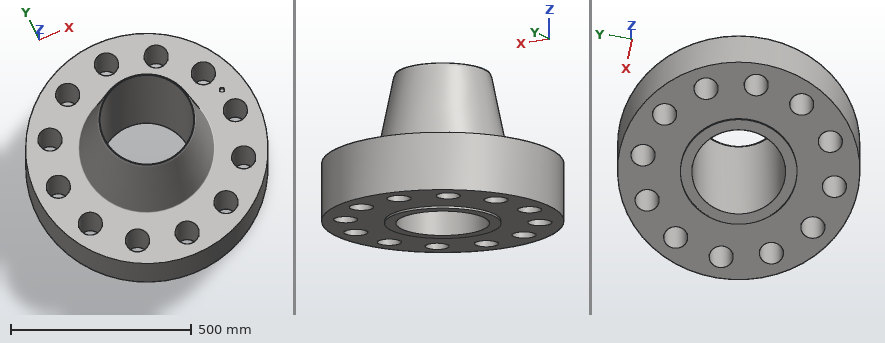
import cadquery as cq
import math

flange_diameter = 673.0
flange_thickness = 165.0

raised_face_diameter = 324.0
raised_face_height = 6.3

overall_height = 425.0
hub_base_diameter = 374.0
pipe_diameter = 273.0
bore_diameter = 260.0
bevel_height = 9.0
land_width = 3.0
hub_fillet = 3.0

bolt_count = 12
bolt_circle_diameter = 540.0
bolt_hole_diameter = 66.5

small_hole_diameter = 14.0
small_hole_depth = small_hole_diameter

bottom_z = -raised_face_height
tip_z = bottom_z + overall_height
bevel_z = tip_z - bevel_height
land_radius = bore_diameter / 2 + land_width


def bolt_circle_point(angle):
    radius = bolt_circle_diameter / 2
    turn = math.radians(angle)
    return (radius * math.cos(turn), radius * math.sin(turn))


def make_disc():
    disc = cq.Workplane("XY").circle(flange_diameter / 2).extrude(flange_thickness)
    raised_face = cq.Workplane("XY").circle(raised_face_diameter / 2).extrude(-raised_face_height)
    return disc.union(raised_face)


def make_hub():
    half_section = [
        (0, flange_thickness),
        (hub_base_diameter / 2, flange_thickness),
        (pipe_diameter / 2, bevel_z),
        (land_radius, tip_z),
        (0, tip_z),
    ]
    return cq.Workplane("XZ").polyline(half_section).close().revolve(360, (0, 0), (0, 1))


def fillet_hub_root(body):
    root_zone = cq.selectors.BoxSelector(
        (-hub_base_diameter, -hub_base_diameter, flange_thickness - hub_fillet),
        (hub_base_diameter, hub_base_diameter, flange_thickness + hub_fillet),
    )
    root_edge = cq.selectors.RadiusNthSelector(0)
    return body.edges(root_zone).edges(root_edge).fillet(hub_fillet)


def make_bore():
    return cq.Workplane("XY", origin=(0, 0, bottom_z)).circle(bore_diameter / 2).extrude(overall_height)


def make_bolt_holes():
    points = [bolt_circle_point(i * 360 / bolt_count) for i in range(bolt_count)]
    return cq.Workplane("XY").pushPoints(points).circle(bolt_hole_diameter / 2).extrude(flange_thickness)


def make_small_hole():
    center = bolt_circle_point(180 / bolt_count)
    top_plane = cq.Workplane("XY", origin=(0, 0, flange_thickness))
    return top_plane.center(*center).circle(small_hole_diameter / 2).extrude(-small_hole_depth)


result = fillet_hub_root(make_disc().union(make_hub()))
result = result.cut(make_bore()).cut(make_bolt_holes()).cut(make_small_hole())